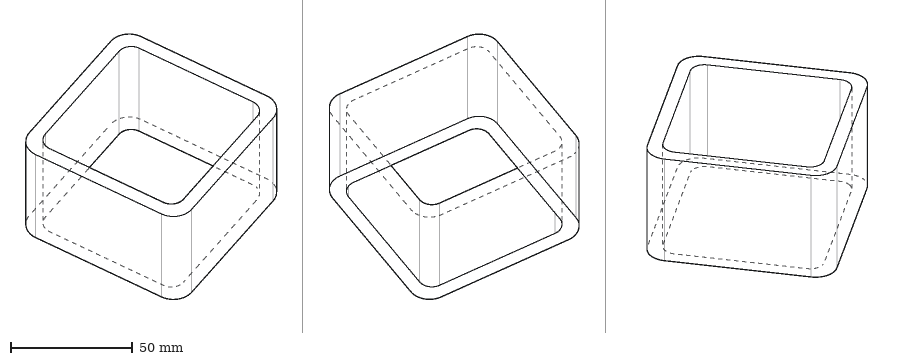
import cadquery as cq

side = 80.0
height = 50.0
wall = 6.0
outer_radius = 9.0
inner_radius = 6.0
opening = side - 2 * wall


def rounded_square_block(width, corner_radius):
    """Upright square block, standing on Z = 0, with rounded vertical edges."""
    block = cq.Workplane("XY").box(width, width, height, centered=(True, True, False))
    return block.edges("|Z").fillet(corner_radius)


outer_body = rounded_square_block(side, outer_radius)
through_opening = rounded_square_block(opening, inner_radius)

result = outer_body.cut(through_opening)